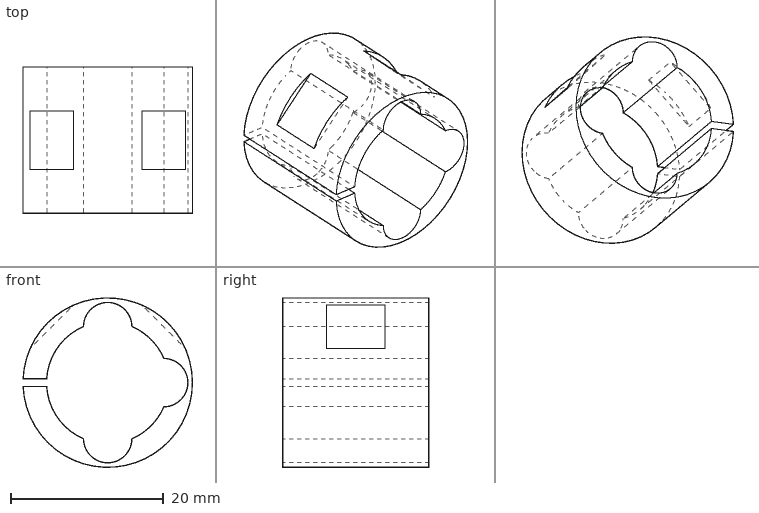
import cadquery as cq
import math

outer_diameter = 22.23
length = 19.18
bore_radius = 8.0
slit_width = 0.98

groove_radius = 3.15
groove_reach = 10.5
groove_angles = (0, 90, 270)

flat_distance = 10.35
flat_length = 7.67
flat_angles = (45, 135)

outer_radius = outer_diameter / 2
groove_offset = groove_reach - groove_radius


def rod(radius, x=0, z=0):
    """Cylinder parallel to Y, as long as the sleeve."""
    return cq.Workplane("XZ").center(x, z).circle(radius).extrude(length / 2, both=True)


def bore_groove(angle):
    """Round groove at an angle measured from +X towards +Z."""
    turn = math.radians(angle)
    return rod(groove_radius, groove_offset * math.cos(turn), groove_offset * math.sin(turn))


def flat_cutter(angle):
    """Block that removes the wall beyond a flat facing the given angle."""
    block = cq.Workplane("XY").box(
        outer_radius, flat_length, outer_diameter, centered=(False, True, True)
    )
    return block.translate((flat_distance, 0, 0)).rotate((0, 0, 0), (0, 1, 0), -angle)


sleeve = rod(outer_radius).cut(rod(bore_radius))

for angle in groove_angles:
    sleeve = sleeve.cut(bore_groove(angle))

for angle in flat_angles:
    sleeve = sleeve.cut(flat_cutter(angle))

slit = cq.Workplane("XY").box(outer_radius, length, slit_width).translate((-outer_radius, 0, 0))
result = sleeve.cut(slit)